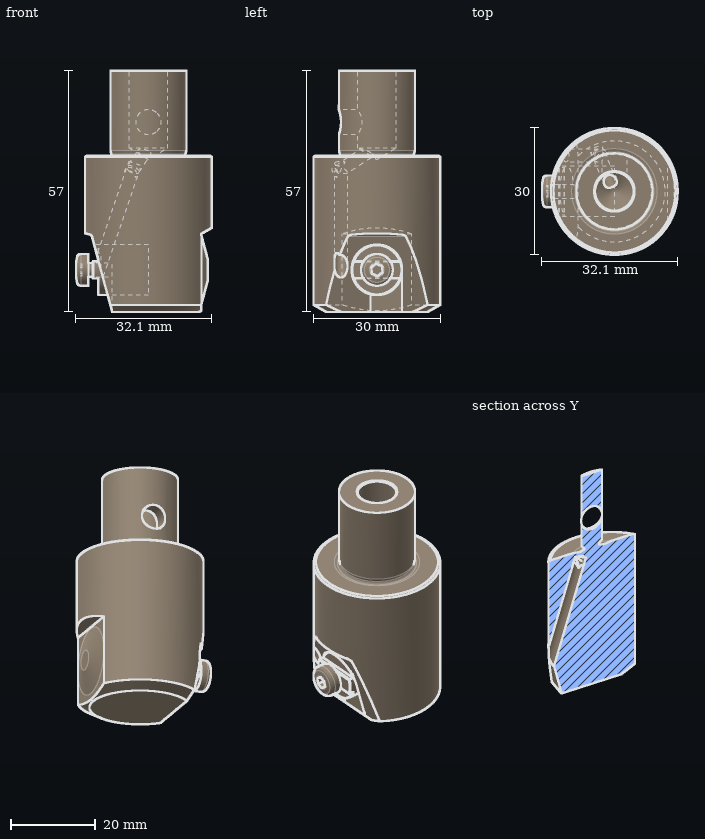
import cadquery as cq
import math

total_height = 57.0

body_radius = 15.0
body_height = 37.0
shank_radius = 9.0
top_chamfer_width = 0.55
top_chamfer_height = 0.35
bottom_chamfer_width = 3.0
bottom_chamfer_height = 1.7

undercut_top = 38.15
undercut_neck_height = 37.35
undercut_neck_radius = 8.8
undercut_depth = 0.2
undercut_floor_radius = 9.35
undercut_outer_radius = 10.1

bore_radius = 4.55
bore_tip_height = 36.0
bore_chamfer = 0.2
drill_point_angle = 118.0

clamp_hole_radius = 2.95
clamp_hole_height = 44.85

flat_angle = 15.0
flat_foot_x = -8.55
flat_height = 18.2
flat_end_slope = 15.0
flat_fillet = 0.7

back_flat_x = 12.55
back_flat_height = 18.45
back_flat_slope = 30.0

dial_face_x = 14.1
dial_face_radius = 2.4
dial_cone_angle = 15.0

pocket_floor_x = flat_foot_x
pocket_side_y = 1.55

coolant_radius = 1.55
coolant_outlet = cq.Vector(-11.45, 8.5, 10.8)
coolant_bend = cq.Vector(-3.65, 8.5, 33.65)
coolant_inlet = cq.Vector(-1.0, 2.4, 37.6)
coolant_inlet_overrun = 2.3
coolant_outlet_overrun = 6.85

carrier_axis_z = 10.0
carrier_radius = 6.0
carrier_face_x = -11.9
carrier_end_x = 0.0
carrier_chamfer = 0.15
bar_face_x = -13.15
bar_width = 4.15

screw_shank_radius = 1.65
screw_tip_x = -8.6
screw_head_radius = 3.75
screw_head_under_x = -14.15
screw_rim_x = -15.85
screw_dome_x = -16.9
screw_dome_radius = 2.95
screw_face_x = -17.1
screw_face_radius = 1.7
socket_width = 2.5
socket_turn = -8.0
socket_depth = 1.5


def tan_deg(angle):
    return math.tan(math.radians(angle))


def x_cylinder(start_x, end_x, radius):
    """Cylinder on the carrier axis, from start_x to end_x."""
    base = cq.Workplane("YZ", origin=(start_x, 0, carrier_axis_z))
    return base.circle(radius).extrude(end_x - start_x)


def x_revolve(outline):
    """Revolve an outline, drawn as (x, radius), about the carrier axis."""
    return outline.close().revolve(360, (0, 0, 0), (1, 0, 0))


def axis_sketch():
    """Sketch plane through the carrier axis, with local (x, radius)."""
    return cq.Workplane("XZ", origin=(0, 0, carrier_axis_z))


def turned_blank():
    """Body and shank as one turned shape, with chamfers and the undercut."""
    floor_z = body_height - undercut_depth
    outline = (
        cq.Workplane("XZ")
        .moveTo(0, 0)
        .lineTo(body_radius - bottom_chamfer_width, 0)
        .lineTo(body_radius, bottom_chamfer_height)
        .lineTo(body_radius, body_height - top_chamfer_height)
        .lineTo(body_radius - top_chamfer_width, body_height)
        .lineTo(undercut_outer_radius, body_height)
        .lineTo(undercut_floor_radius, floor_z)
        .tangentArcPoint((undercut_neck_radius, undercut_neck_height), relative=False)
        .lineTo(shank_radius, undercut_top)
        .lineTo(shank_radius, total_height)
        .lineTo(0, total_height)
        .close()
    )
    return outline.revolve(360, (0, 0, 0), (0, 1, 0))


def shank_bore():
    """Blind bore with a drill-point bottom and a chamfered mouth."""
    cone_top = bore_tip_height + bore_radius / tan_deg(drill_point_angle / 2)
    outline = (
        cq.Workplane("XZ")
        .moveTo(0, bore_tip_height)
        .lineTo(bore_radius, cone_top)
        .lineTo(bore_radius, total_height - bore_chamfer)
        .lineTo(bore_radius + bore_chamfer, total_height)
        .lineTo(0, total_height)
        .close()
    )
    return outline.revolve(360, (0, 0, 0), (0, 1, 0))


def clamp_hole():
    """Radial hole from the +Y side into the bore."""
    base = cq.Workplane("XZ", origin=(0, 0, clamp_hole_height))
    return base.circle(clamp_hole_radius).extrude(-body_radius)


def tilted_flat():
    """Cutter that leaves the tilted flat, with a rounded inner corner below its sloping upper end."""
    outer_x = -2 * body_radius
    corner_x = flat_foot_x - flat_height * tan_deg(flat_angle)
    rise = (corner_x - outer_x) * tan_deg(flat_end_slope)
    outline = (
        cq.Workplane("XZ")
        .moveTo(flat_foot_x, 0)
        .lineTo(corner_x, flat_height)
        .lineTo(outer_x, flat_height + rise)
        .lineTo(outer_x, 0)
        .close()
    )
    cutter = outline.extrude(body_radius, both=True)
    corner = cq.selectors.NearestToPointSelector((corner_x, 0, flat_height))
    return cutter.edges(corner).fillet(flat_fillet)


def back_flat():
    """Cutter that leaves the upright flat and the sloping shoulder above it."""
    outer_x = 2 * body_radius
    rise = (outer_x - back_flat_x) * tan_deg(back_flat_slope)
    outline = (
        cq.Workplane("XZ")
        .moveTo(back_flat_x, 0)
        .lineTo(outer_x, 0)
        .lineTo(outer_x, back_flat_height + rise)
        .lineTo(back_flat_x, back_flat_height)
        .close()
    )
    return outline.extrude(body_radius, both=True)


def dial():
    """Shallow cone that stands on the upright flat as part of the housing."""
    root_radius = dial_face_radius + (dial_face_x - back_flat_x) / tan_deg(dial_cone_angle)
    outline = (
        axis_sketch()
        .moveTo(back_flat_x, 0)
        .lineTo(back_flat_x, root_radius)
        .lineTo(dial_face_x, dial_face_radius)
        .lineTo(dial_face_x, 0)
    )
    return x_revolve(outline)


def chip_pocket():
    """Pocket from the lower end of the tilted flat up to the carrier."""
    outline = (
        cq.Workplane("YZ", origin=(pocket_floor_x, 0, 0))
        .moveTo(pocket_side_y, 0)
        .lineTo(-carrier_radius, 0)
        .lineTo(-carrier_radius, carrier_axis_z)
        .lineTo(pocket_side_y, carrier_axis_z)
        .close()
    )
    return outline.extrude(-body_radius)


def drill_hole(start, end, start_extra, end_extra):
    """Round coolant hole along start-end, lengthened by the extras."""
    direction = (end - start).normalized()
    length = (end - start).Length + start_extra + end_extra
    origin = start - direction * start_extra
    return cq.Workplane(cq.Solid.makeCylinder(coolant_radius, length, origin, direction))


def coolant_passage():
    """Two drillings, from the bore cone and from the tilted flat, that meet at the bend."""
    upper = drill_hole(coolant_bend, coolant_inlet, coolant_radius, coolant_inlet_overrun)
    lower = drill_hole(coolant_bend, coolant_outlet, coolant_radius, coolant_outlet_overrun)
    return upper.union(lower)


def make_housing():
    housing = turned_blank().cut(shank_bore()).cut(clamp_hole())
    housing = housing.cut(tilted_flat()).cut(back_flat()).union(dial())
    housing = housing.cut(chip_pocket()).cut(coolant_passage())
    return housing.cut(x_cylinder(carrier_end_x, -body_radius, carrier_radius))


def make_carrier():
    plug = x_cylinder(carrier_end_x, carrier_face_x, carrier_radius)
    plug = plug.faces("<X").chamfer(carrier_chamfer)
    bar = x_cylinder(carrier_end_x, bar_face_x, carrier_radius)
    strip_length = 4 * body_radius
    strip = cq.Workplane("XY").box(strip_length, strip_length, bar_width)
    bar = bar.intersect(strip.translate((0, 0, carrier_axis_z)))
    bar = bar.faces("<X").chamfer(carrier_chamfer)
    return plug.union(bar).cut(x_cylinder(screw_tip_x, bar_face_x, screw_shank_radius))


def make_screw():
    quarter_sag = 1 - math.sqrt(0.5)
    rim_middle_x = screw_dome_x + (screw_rim_x - screw_dome_x) * quarter_sag
    rim_middle_radius = screw_head_radius - (screw_head_radius - screw_dome_radius) * quarter_sag
    outline = (
        axis_sketch()
        .moveTo(screw_tip_x, 0)
        .lineTo(screw_tip_x, screw_shank_radius)
        .lineTo(screw_head_under_x, screw_shank_radius)
        .lineTo(screw_head_under_x, screw_head_radius)
        .lineTo(screw_rim_x, screw_head_radius)
        .threePointArc((rim_middle_x, rim_middle_radius), (screw_dome_x, screw_dome_radius))
        .lineTo(screw_face_x, screw_face_radius)
        .lineTo(screw_face_x, 0)
    )
    socket = (
        cq.Workplane("YZ", origin=(screw_face_x, 0, carrier_axis_z))
        .transformed(rotate=(0, 0, socket_turn))
        .polygon(6, socket_width, circumscribed=True)
        .extrude(socket_depth)
    )
    return x_revolve(outline).cut(socket)


housing = make_housing().solids()
carrier = make_carrier().solids()
screw = make_screw().solids()

result = cq.Compound.makeCompound([housing.val(), carrier.val(), screw.val()])